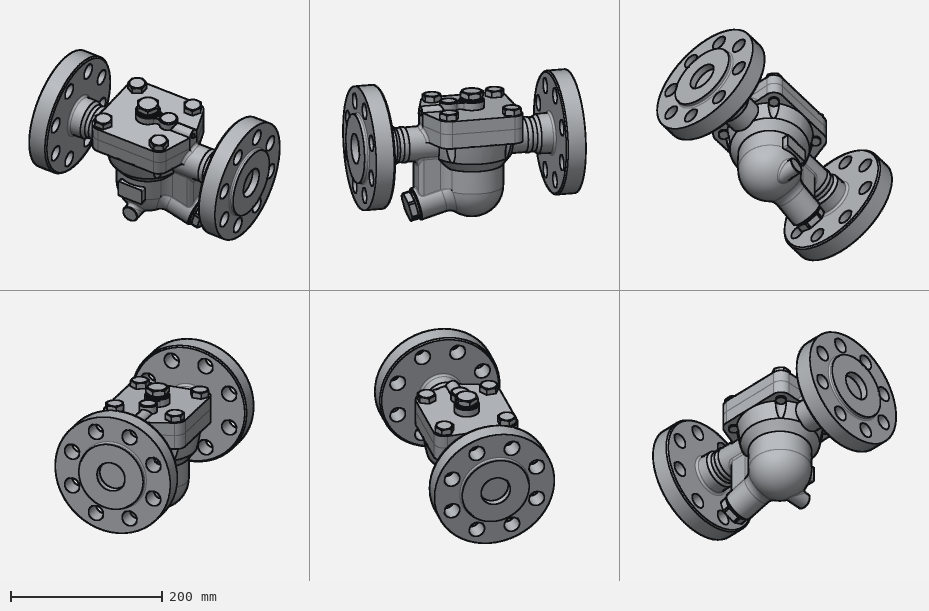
import cadquery as cq
import math

FACE_TO_FACE = 300.0
BODY_X = -10.0

FLANGE_DIA = 165.0
RAISED_DIA = 92.1
RAISED_HEIGHT = 6.0
RAISED_FILLET = 1.9
FLANGE_THICK = 26.5
FLANGE_CHAMFER = 2.0
BOLT_CIRCLE = 126.0
HOLE_DIA = 21.0
HOLE_COUNT = 8
BORE_DIA = 40.0
BORE_DEPTH = 10.0

PIPE_R = 23.0
NECK_ROOT_R = 26.7
NECK_END_R = 26.3
NECK_FILLET = 3.0
NECK_LENGTH = 15.5
TAPER_LENGTH = 4.8
BEAD_R = 24.0
BEAD_OUTER_X = 88.3
BEAD_INNER_X = 81.5

BOLT_PITCH = 86.0
CORNER_R = 14.5
NOSE_X = 60.0
NOSE_HALF_WIDTH = 9.25
JOINT_BOTTOM_Z = 7.1
BONNET_TOP_Z = 44.6
JOINT_SPLIT_Z = 27.2
PIPE_JOINT_FILLET = 4.0

BOLT_FLATS = 22.0
BOLT_HEAD_HEIGHT = 8.7
BOLT_TIP_DIA = 14.0
BOLT_TIP_LENGTH = 2.8
BOLT_RELIEF_R = 8.4
HEX_CHAMFER_SLOPE = math.tan(math.radians(30))
HEX_LAND_RATIO = 0.47
HEX_RIM_MARGIN = 0.5

BOSS_TOP_Z = 56.2
BOSS_CHAMFER = 1.5
PLUG_BOSS_R = 16.5
PLUG_FLATS = 27.0
PLUG_HEAD_HEIGHT = 9.4
PLUG_COLLAR_R = 12.5
PLUG_COLLAR_HEIGHT = 1.4
SIDE_BOSS_X = 21.8
SIDE_BOSS_R = 12.0
WEB_TOP_Z = 53.3
WEB_BLEND_R = 6.0
TUBE_R = 9.25
TUBE_Z = 41.55
TIP_R = 3.4
TIP_LENGTH = 3.3

BOWL_TOP_R = 57.6
BOWL_MID_R = 55.3
BOWL_BOTTOM_R = 52.5
BOWL_BOTTOM_Z = -18.9
CONE_BOTTOM_Z = -32.4
BODY_R = 42.0
SPHERE_Z = -63.0

STRAINER_TILT = 15.0
STRAINER_R = 22.0
STRAINER_LENGTH = 80.0
STRAINER_BLEND_R = 18.0
STRAINER_CHAMFER = 1.0
BLEND_OVERLAP = 0.1
CAP_END = 92.3
CAP_THICK = 9.3
CAP_FLATS = 36.0
CAP_DIA = 40.0
CAP_CHAMFER = 0.5
CAP_COLLAR_R = 18.0

BLOCK_START_X = 10.0
BLOCK_END_X = 66.8
BLOCK_HALF_WIDTH = 17.0
BLOCK_CORNER_R = 6.0
BLOCK_PIPE_FILLET = 6.0
BLOCK_STRAINER_FILLET = 1.5
BLOCK_BLEND_R = 16.8

PAD_WIDTH = 36.8
PAD_TOP_Z = -42.0
PAD_BOTTOM_Z = -66.2
PAD_CORNER_R = 2.5
FRONT_REACH = 46.0
DRAIN_R = 11.0
DRAIN_Z = -90.7
DRAIN_CHAMFER = 0.5
DRAIN_FILLET = 3.5

ON_CURVE = 0.05
ON_FACE = 0.01
CLEAR = 0.1
UPRIGHT = 0.99


def cylinder_z(x, y, radius, z_bottom, z_top):
    return cq.Workplane("XY", origin=(x, y, z_bottom)).circle(radius).extrude(z_top - z_bottom)


def hexagon_head(flats, height, spin, chamfer_bottom=False):
    """Hexagon head on Z = 0, with its corners turned off by a cone."""
    corners = flats / math.cos(math.radians(30))
    head = cq.Workplane("XY").polygon(6, corners).extrude(height).rotate((0, 0, 0), (0, 0, 1), spin)
    land_r = HEX_LAND_RATIO * flats
    rim_r = corners / 2 + HEX_RIM_MARGIN
    drop = (rim_r - land_r) * HEX_CHAMFER_SLOPE
    outline = cq.Workplane("XZ")
    if chamfer_bottom:
        outline = outline.lineTo(land_r, 0).lineTo(rim_r, drop)
    else:
        outline = outline.lineTo(rim_r, 0)
    envelope = outline.lineTo(rim_r, height - drop).lineTo(land_r, height).lineTo(0, height).close()
    return head.intersect(envelope.revolve(360, (0, 0), (0, 1)))


def end_connection():
    """Flange, neck, weld bead and pipe of the -X end, turned about the X axis."""
    face_x = -FACE_TO_FACE / 2
    flange_x = face_x + RAISED_HEIGHT
    back_x = flange_x + FLANGE_THICK
    flange_r = FLANGE_DIA / 2
    raised_r = RAISED_DIA / 2
    root_x = back_x + NECK_FILLET
    neck_x = root_x + NECK_LENGTH
    bead_mid_x = -(BEAD_OUTER_X + BEAD_INNER_X) / 2
    turned = (
        cq.Workplane("XY")
        .moveTo(face_x, 0)
        .lineTo(face_x, raised_r)
        .lineTo(flange_x - RAISED_FILLET, raised_r)
        .radiusArc((flange_x, raised_r + RAISED_FILLET), -RAISED_FILLET)
        .lineTo(flange_x, flange_r)
        .lineTo(back_x - FLANGE_CHAMFER, flange_r)
        .lineTo(back_x, flange_r - FLANGE_CHAMFER)
        .lineTo(back_x, NECK_ROOT_R + NECK_FILLET)
        .radiusArc((root_x, NECK_ROOT_R), -NECK_FILLET)
        .lineTo(neck_x, NECK_END_R)
        .lineTo(neck_x + TAPER_LENGTH, PIPE_R)
        .lineTo(-BEAD_OUTER_X, PIPE_R)
        .threePointArc((bead_mid_x, BEAD_R), (-BEAD_INNER_X, PIPE_R))
        .lineTo(BODY_X, PIPE_R)
        .lineTo(BODY_X, 0)
        .close()
        .revolve(360, (0, 0), (1, 0))
    )
    holes = (
        cq.Workplane("YZ", origin=(face_x, 0, 0))
        .polarArray(BOLT_CIRCLE / 2, 180 / HOLE_COUNT, 360, HOLE_COUNT)
        .circle(HOLE_DIA / 2)
        .extrude(RAISED_HEIGHT + FLANGE_THICK)
    )
    bore = cq.Workplane("YZ", origin=(face_x, 0, 0)).circle(BORE_DIA / 2).extrude(BORE_DEPTH)
    return turned.cut(holes).cut(bore)


def joint_plate(z_bottom, z_top):
    """Square plate with rounded corners whose +X side runs out to a blunt nose."""
    half_pitch = BOLT_PITCH / 2
    half_side = half_pitch + CORNER_R
    left_x = BODY_X - half_side
    corner_x = BODY_X + half_pitch
    run = NOSE_X - corner_x
    rise = NOSE_HALF_WIDTH - half_pitch
    tangent = math.atan2(rise, run) + math.acos(CORNER_R / math.hypot(run, rise))
    tangent_x = corner_x + CORNER_R * math.cos(tangent)
    tangent_y = half_pitch + CORNER_R * math.sin(tangent)
    return (
        cq.Workplane("XY", origin=(0, 0, z_bottom))
        .moveTo(left_x, -half_pitch)
        .lineTo(left_x, half_pitch)
        .radiusArc((left_x + CORNER_R, half_side), CORNER_R)
        .lineTo(corner_x, half_side)
        .radiusArc((tangent_x, tangent_y), CORNER_R)
        .lineTo(NOSE_X, NOSE_HALF_WIDTH)
        .lineTo(NOSE_X, -NOSE_HALF_WIDTH)
        .lineTo(tangent_x, -tangent_y)
        .radiusArc((corner_x, -half_side), CORNER_R)
        .lineTo(left_x + CORNER_R, -half_side)
        .radiusArc((left_x, -half_pitch), CORNER_R)
        .close()
        .extrude(z_top - z_bottom)
    )


def body_joint():
    """Lower joint plate, filleted to the pipe on both sides."""
    plate = joint_plate(JOINT_BOTTOM_Z, JOINT_SPLIT_Z)
    pipe_start = -BEAD_INNER_X
    pipe = cq.Workplane("YZ", origin=(pipe_start, 0, 0)).circle(PIPE_R).extrude(2 * BEAD_INNER_X)
    above = cq.Workplane("XY", origin=(0, 0, JOINT_BOTTOM_Z)).rect(FACE_TO_FACE, FLANGE_DIA).extrude(PIPE_R)
    joined = plate.union(pipe.intersect(above))

    def on_pipe_and_plate(edge):
        p = edge.positionAt(0.5)
        on_pipe = abs(math.hypot(p.y, p.z) - PIPE_R) < ON_CURVE
        inside = p.z > JOINT_BOTTOM_Z + CLEAR and abs(p.x) < BEAD_INNER_X - CLEAR
        return on_pipe and inside and edge.geomType() != "LINE"

    seams = [e for e in joined.edges().vals() if on_pipe_and_plate(e)]
    return joined.newObject(seams).fillet(PIPE_JOINT_FILLET)


def bolt_positions():
    """Bolt places with the turn of each head, counted round the body axis."""
    half_pitch = BOLT_PITCH / 2
    signs = [(1, 1), (-1, 1), (-1, -1), (1, -1)]
    return [(BODY_X + sx * half_pitch, sy * half_pitch, 90 * turn) for turn, (sx, sy) in enumerate(signs)]


def top_fittings():
    """Plug boss, side boss, the web between them, and the tube toward the nose."""
    plug_boss = cylinder_z(BODY_X, 0, PLUG_BOSS_R, BONNET_TOP_Z, BOSS_TOP_Z)
    side_boss = cylinder_z(SIDE_BOSS_X, 0, SIDE_BOSS_R, BONNET_TOP_Z, BOSS_TOP_Z)
    plug_boss = plug_boss.faces(">Z").chamfer(BOSS_CHAMFER)
    side_boss = side_boss.faces(">Z").chamfer(BOSS_CHAMFER)

    spacing = SIDE_BOSS_X - BODY_X
    to_plug = PLUG_BOSS_R + WEB_BLEND_R
    to_side = SIDE_BOSS_R + WEB_BLEND_R
    along = (spacing**2 + to_plug**2 - to_side**2) / (2 * spacing)
    across = math.sqrt(to_plug**2 - along**2)
    plug_x = BODY_X + along * PLUG_BOSS_R / to_plug
    plug_y = across * PLUG_BOSS_R / to_plug
    side_x = SIDE_BOSS_X - (spacing - along) * SIDE_BOSS_R / to_side
    side_y = across * SIDE_BOSS_R / to_side
    web = (
        cq.Workplane("XY", origin=(0, 0, BONNET_TOP_Z))
        .moveTo(BODY_X, plug_y)
        .lineTo(plug_x, plug_y)
        .radiusArc((side_x, side_y), -WEB_BLEND_R)
        .lineTo(SIDE_BOSS_X, side_y)
        .lineTo(SIDE_BOSS_X, -side_y)
        .lineTo(side_x, -side_y)
        .radiusArc((plug_x, -plug_y), -WEB_BLEND_R)
        .lineTo(BODY_X, -plug_y)
        .close()
        .extrude(WEB_TOP_Z - BONNET_TOP_Z)
    )
    tube = (
        cq.Workplane("YZ", origin=(SIDE_BOSS_X, 0, TUBE_Z))
        .circle(TUBE_R)
        .extrude(NOSE_X - SIDE_BOSS_X)
    )
    tip_base = cq.Vector(NOSE_X, 0, TUBE_Z)
    tip = cq.Workplane(cq.Solid.makeCone(TIP_R, 0, TIP_LENGTH, tip_base, cq.Vector(1, 0, 0)))
    collar = cylinder_z(BODY_X, 0, PLUG_COLLAR_R, BOSS_TOP_Z, BOSS_TOP_Z + PLUG_COLLAR_HEIGHT)
    head = hexagon_head(PLUG_FLATS, PLUG_HEAD_HEIGHT, 0, chamfer_bottom=True)
    head = head.translate((BODY_X, 0, BOSS_TOP_Z + PLUG_COLLAR_HEIGHT))
    parts = plug_boss
    for piece in (side_boss, web, tube, tip, collar, head):
        parts = parts.union(piece)
    return parts


def bowl():
    """Flared bowl with bolt reliefs, cone, barrel, hemispherical bottom and drain stub."""
    half = math.sqrt(0.5) * BODY_R
    mid_z = (JOINT_BOTTOM_Z + BOWL_BOTTOM_Z) / 2
    shell = (
        cq.Workplane("XZ", origin=(BODY_X, 0, 0))
        .moveTo(0, JOINT_BOTTOM_Z)
        .lineTo(BOWL_TOP_R, JOINT_BOTTOM_Z)
        .threePointArc((BOWL_MID_R, mid_z), (BOWL_BOTTOM_R, BOWL_BOTTOM_Z))
        .lineTo(BODY_R, CONE_BOTTOM_Z)
        .lineTo(BODY_R, SPHERE_Z)
        .threePointArc((half, SPHERE_Z - half), (0, SPHERE_Z - BODY_R))
        .close()
        .revolve(360, (0, 0), (0, 1))
    )
    for x, y, _ in bolt_positions():
        shell = shell.cut(cylinder_z(x, y, BOLT_RELIEF_R, BOWL_BOTTOM_Z, JOINT_BOTTOM_Z))
    drain = (
        cq.Workplane("XZ", origin=(BODY_X, 0, DRAIN_Z))
        .circle(DRAIN_R)
        .extrude(FRONT_REACH)
        .faces("<Y")
        .chamfer(DRAIN_CHAMFER)
    )
    shell = shell.union(drain)

    def drain_root(edge):
        p = edge.positionAt(0.25)
        on_drain = abs(math.hypot(p.x - BODY_X, p.z - DRAIN_Z) - DRAIN_R) < ON_CURVE
        return on_drain and edge.geomType() not in ("LINE", "CIRCLE")

    roots = [e for e in shell.edges().vals() if drain_root(e)]
    return shell.newObject(roots).fillet(DRAIN_FILLET)


def along_strainer(shape):
    """Place a shape modelled along +Z from the origin onto the strainer axis."""
    turned = shape.rotate((0, 0, 0), (0, 1, 0), 90 + STRAINER_TILT)
    return turned.translate((BODY_X, 0, SPHERE_Z))


def strainer_branch():
    """Branch with a concave blend, turned about the strainer axis, which meets the sphere centre."""
    root_r = BODY_R - BLEND_OVERLAP
    arc_r = STRAINER_R + STRAINER_BLEND_R
    arc_z = math.sqrt((root_r + STRAINER_BLEND_R) ** 2 - arc_r**2)
    share = root_r / (root_r + STRAINER_BLEND_R)
    branch = (
        cq.Workplane("XZ")
        .lineTo(arc_r * share, arc_z * share)
        .radiusArc((STRAINER_R, arc_z), STRAINER_BLEND_R)
        .lineTo(STRAINER_R, STRAINER_LENGTH - STRAINER_CHAMFER)
        .lineTo(STRAINER_R - STRAINER_CHAMFER, STRAINER_LENGTH)
        .lineTo(0, STRAINER_LENGTH)
        .close()
        .revolve(360, (0, 0), (0, 1))
    )
    return along_strainer(branch)


def strainer_cap():
    """Collar and hexagon that close the strainer branch."""
    hexagon_z = CAP_END - CAP_THICK
    collar = cylinder_z(0, 0, CAP_COLLAR_R, STRAINER_LENGTH, hexagon_z)
    hexagon = (
        cq.Workplane("XY", origin=(0, 0, hexagon_z))
        .polygon(6, CAP_FLATS / math.cos(math.radians(30)))
        .extrude(CAP_THICK)
    )
    turned = cylinder_z(0, 0, CAP_DIA / 2, hexagon_z, CAP_END).faces("<Z or >Z").chamfer(CAP_CHAMFER)
    return along_strainer(collar.union(hexagon.intersect(turned)))


def block_blend_centre():
    """Centre of the arc tangent to the barrel and to the side of the block (+Y side)."""
    arc_y = BLOCK_HALF_WIDTH + BLOCK_BLEND_R
    arc_x = BODY_X + math.sqrt((BODY_R + BLOCK_BLEND_R) ** 2 - arc_y**2)
    return arc_x, arc_y


def block_blend():
    """Concave arcs that lead the barrel into the sides of the passage block."""
    end_x, arc_y = block_blend_centre()
    share = BODY_R / (BODY_R + BLOCK_BLEND_R)
    barrel_x = BODY_X + (end_x - BODY_X) * share
    barrel_y = arc_y * share
    return (
        cq.Workplane("XY", origin=(0, 0, SPHERE_Z))
        .moveTo(BODY_X, 0)
        .lineTo(barrel_x, -barrel_y)
        .radiusArc((end_x, -BLOCK_HALF_WIDTH), BLOCK_BLEND_R)
        .lineTo(end_x, BLOCK_HALF_WIDTH)
        .radiusArc((barrel_x, barrel_y), BLOCK_BLEND_R)
        .close()
        .extrude(BOWL_BOTTOM_Z - SPHERE_Z)
    )


def passage_block():
    """Block under the pipe, filleted to the pipe above and the strainer below."""
    length = BLOCK_END_X - BLOCK_START_X
    bottom_z = SPHERE_Z - STRAINER_R / 2
    block = (
        cq.Workplane("XY", origin=(BLOCK_START_X + length / 2, 0, bottom_z))
        .rect(length, 2 * BLOCK_HALF_WIDTH)
        .extrude(-bottom_z)
        .edges("|Z and >X")
        .fillet(BLOCK_CORNER_R)
    )
    pipe = cq.Workplane("YZ", origin=(BODY_X, 0, 0)).circle(PIPE_R).extrude(BEAD_INNER_X - BODY_X)
    joined = block.union(block_blend()).union(pipe).union(strainer_branch())
    tilt = math.radians(STRAINER_TILT)
    arc_x, arc_y = block_blend_centre()

    def on_block(p):
        on_blend = abs(math.hypot(p.x - arc_x, abs(p.y) - arc_y) - BLOCK_BLEND_R) < ON_FACE
        on_side = abs(abs(p.y) - BLOCK_HALF_WIDTH) < ON_FACE
        on_end = p.x > BLOCK_END_X - BLOCK_CORNER_R - ON_FACE
        return on_blend or on_side or on_end

    def pipe_seam(edge):
        p = edge.positionAt(0.5)
        on_pipe = abs(math.hypot(p.y, p.z) - PIPE_R) < ON_CURVE
        return on_pipe and on_block(p) and p.z < 0 and p.x < BLOCK_END_X + CLEAR

    def strainer_seam(edge):
        p = edge.positionAt(0.5)
        lift = (p.x - BODY_X) * math.sin(tilt) + (p.z - SPHERE_Z) * math.cos(tilt)
        upright = abs(edge.tangentAt(0.5).z) > UPRIGHT
        below_pipe = p.z < -PIPE_R and p.x < BLOCK_END_X + CLEAR
        return on_block(p) and lift > 0 and below_pipe and not upright

    joined = joined.newObject([e for e in joined.edges().vals() if pipe_seam(e)]).fillet(BLOCK_PIPE_FILLET)
    seams = [e for e in joined.edges().vals() if strainer_seam(e)]
    return joined.newObject(seams).fillet(BLOCK_STRAINER_FILLET)


def name_pad():
    """Raised rectangular pad on the -Y side of the barrel."""
    height = PAD_TOP_Z - PAD_BOTTOM_Z
    return (
        cq.Workplane("XZ", origin=(BODY_X, 0, PAD_BOTTOM_Z + height / 2))
        .rect(PAD_WIDTH, height)
        .extrude(FRONT_REACH)
        .edges("|Y")
        .fillet(PAD_CORNER_R)
    )


def bolt_tips():
    """Ends of the cover bolts below the lower joint plate."""
    tips = cq.Workplane("XY", origin=(0, 0, JOINT_BOTTOM_Z - BOLT_TIP_LENGTH))
    places = [(x, y) for x, y, _ in bolt_positions()]
    return tips.pushPoints(places).circle(BOLT_TIP_DIA / 2).extrude(BOLT_TIP_LENGTH)


def bonnet():
    """Bonnet plate with its fittings and the four cover bolt heads."""
    cover = joint_plate(JOINT_SPLIT_Z, BONNET_TOP_Z).union(top_fittings())
    for x, y, spin in bolt_positions():
        head = hexagon_head(BOLT_FLATS, BOLT_HEAD_HEIGHT, spin)
        cover = cover.union(head.translate((x, y, BONNET_TOP_Z)))
    return cover


connection = end_connection()
result = bowl()
for feature in (
    body_joint(),
    bolt_tips(),
    passage_block(),
    strainer_cap(),
    name_pad(),
    connection,
    connection.mirror("YZ"),
):
    result = result.union(feature)
result = result.union(bonnet(), clean=False)